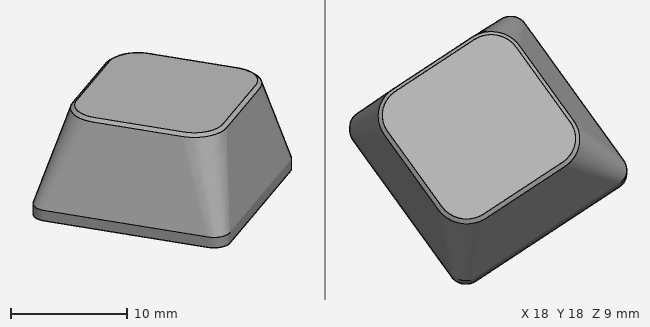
import cadquery as cq

base_side = 18.0
total_height = 9.0

skirt_height = 1.0
base_corner_radius = 1.5

shoulder_side = 14.15
shoulder_corner_radius = 2.97
top_shift_y = 0.97
bevel_width = 0.36
bevel_height = 0.27
shoulder_z = total_height - bevel_height


def rounded_square(side, corner_radius, z, shift_y=0.0):
    """Closed wire of a horizontal square with rounded corners."""
    sketch = cq.Sketch().rect(side, side).vertices().fillet(corner_radius)
    outline = cq.Workplane("XY", origin=(0, shift_y, z)).placeSketch(sketch)
    return outline.extrude(0.18).faces("<Z").wires().val()


def ruled_solid(lower, upper):
    """Straight-sided solid between two outlines."""
    return cq.Workplane(cq.Solid.makeLoft([lower, upper], True))


base_outline = rounded_square(base_side, base_corner_radius, 0.0)
skirt_outline = rounded_square(base_side, base_corner_radius, skirt_height)
shoulder_outline = rounded_square(shoulder_side, shoulder_corner_radius, shoulder_z, top_shift_y)
top_outline = rounded_square(
    shoulder_side - 2 * bevel_width,
    shoulder_corner_radius - bevel_width,
    total_height,
    top_shift_y,
)

skirt = ruled_solid(base_outline, skirt_outline)
tapered_body = ruled_solid(skirt_outline, shoulder_outline)
bevelled_rim = ruled_solid(shoulder_outline, top_outline)

result = skirt.union(tapered_body).union(bevelled_rim)